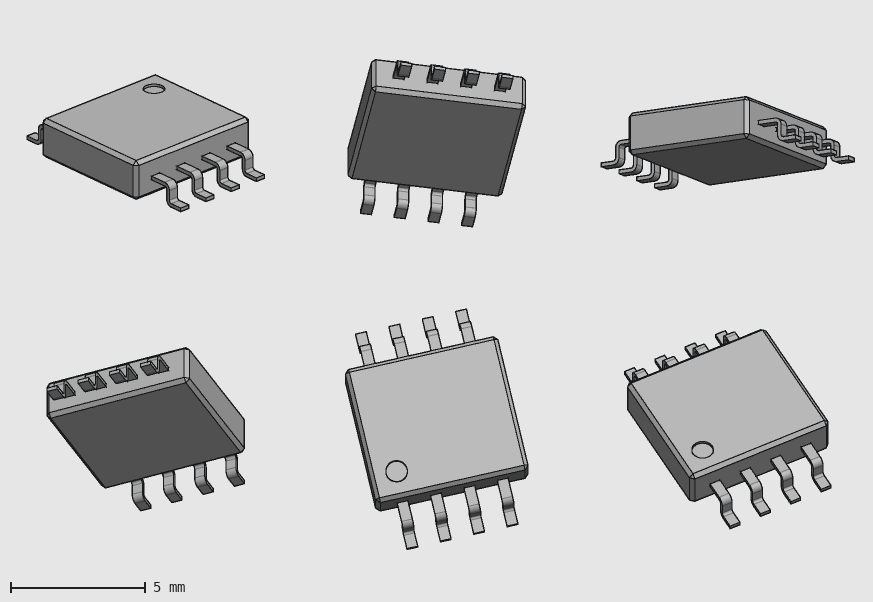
import cadquery as cq


span_x = 8.42
top_z = 1.7

housing_x = 5.23
housing_y = 5.81
standoff = 0.1
housing_height = top_z - standoff
housing_chamfer = 0.15

lead_count = 4
lead_pitch = 1.27
lead_width = 0.41
lead_thickness = 0.15
bend_inner_radius = 0.1
bend_outer_radius = bend_inner_radius + lead_thickness
lead_top_z = standoff + housing_height / 2
shank_outer_x = 3.59
lead_y_positions = [(i - (lead_count - 1) / 2) * lead_pitch for i in range(lead_count)]

mark_diameter = 0.8
mark_edge_distance = 1.0
mark_depth = 0.1
mark_thickness = 0.1
mark_x = -housing_x / 2 + mark_edge_distance
mark_y = housing_y / 2 - mark_edge_distance


def make_lead(center_y):
    """One strap running through the housing, bent down to a foot at each end."""
    toe_x = span_x / 2
    shank_inner_x = shank_outer_x - lead_thickness
    bar_bottom_z = lead_top_z - lead_thickness
    upper_x = shank_outer_x - bend_outer_radius
    upper_z = lead_top_z - bend_outer_radius
    lower_x = shank_inner_x + bend_outer_radius
    lower_z = bend_outer_radius

    half = (
        cq.Workplane("XZ")
        .moveTo(0, lead_top_z)
        .lineTo(upper_x, lead_top_z)
        .radiusArc((shank_outer_x, upper_z), bend_outer_radius)
        .lineTo(shank_outer_x, lower_z)
        .radiusArc((lower_x, lead_thickness), -bend_inner_radius)
        .lineTo(toe_x, lead_thickness)
        .lineTo(toe_x, 0)
        .lineTo(lower_x, 0)
        .radiusArc((shank_inner_x, lower_z), bend_outer_radius)
        .lineTo(shank_inner_x, upper_z)
        .radiusArc((upper_x, bar_bottom_z), -bend_inner_radius)
        .lineTo(0, bar_bottom_z)
        .close()
        .extrude(lead_width / 2, both=True)
    )
    strap = half.union(half.mirror("YZ")).clean()
    return strap.translate((0, center_y, 0))


def make_mark():
    """Disc sunk below the top face, on the floor of its round pocket."""
    floor_z = top_z - mark_depth - mark_thickness
    return (
        cq.Workplane("XY", origin=(mark_x, mark_y, floor_z))
        .circle(mark_diameter / 2)
        .extrude(mark_thickness)
    )


def make_housing(lead_straps):
    """Block chamfered on every edge, with the mark pocket and a passage for each strap."""
    block = (
        cq.Workplane("XY", origin=(0, 0, standoff))
        .rect(housing_x, housing_y)
        .extrude(housing_height)
        .edges()
        .chamfer(housing_chamfer)
    )
    pocket_depth = mark_depth + mark_thickness
    pocket = (
        cq.Workplane("XY", origin=(mark_x, mark_y, top_z))
        .circle(mark_diameter / 2)
        .extrude(-pocket_depth)
    )
    body = block.cut(pocket)
    for strap in lead_straps:
        body = body.cut(strap)
    return body


leads = [make_lead(y) for y in lead_y_positions]
mark = make_mark()
housing = make_housing(leads)

result = cq.Compound.makeCompound(
    [housing.solids().val(), mark.solids().val(), *[lead.solids().val() for lead in leads]]
)